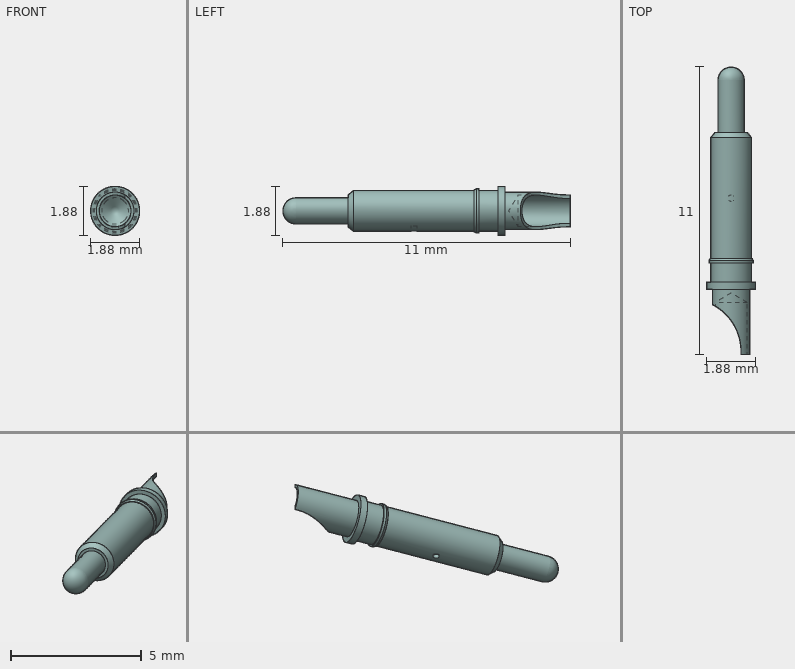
import cadquery as cq
import math

total_length = 11.0
tail_y = -total_length / 2
tip_y = total_length / 2

plunger_radius = 0.51
plunger_length = 2.5
barrel_radius = 0.78
shoulder_length = 0.2
shoulder_depth = 0.16

side_hole_radius = 0.12
side_hole_depth = 0.2
side_hole_y = tail_y + 5.98

ring_radius = 0.85
ring_start = tail_y + 3.5
ring_width = 0.19
ring_chamfer_length = 0.09
ring_chamfer_depth = 0.04

flange_diameter = 1.88
flange_radius = flange_diameter / 2
flange_width = 0.28

cup_length = 2.5
cup_diameter = 1.44
cup_radius = cup_diameter / 2
bore_radius = 0.6
bore_depth = 2.0
drill_point_angle = 118.0

scoop_radius = 2.0
scoop_wall_x = 0.37
scoop_center_y = tail_y + 0.13


def cylinder(radius, start_y, length):
    """Solid cylinder on the Y axis, growing from start_y toward +Y."""
    return cq.Workplane("XZ", origin=(0, start_y, 0)).circle(radius).extrude(-length)


def make_plunger(start_y):
    plunger = cylinder(plunger_radius, start_y, tip_y - plunger_radius - start_y)
    dome = cq.Workplane("XY").sphere(plunger_radius).translate((0, tip_y - plunger_radius, 0))
    return plunger.union(dome)


def make_ring():
    ring = cylinder(ring_radius, ring_start, ring_width)
    return ring.faces(">Y").chamfer(ring_chamfer_length, ring_chamfer_depth)


def make_bore():
    cone_length = bore_radius / math.tan(math.radians(drill_point_angle / 2))
    cone_start = tail_y + bore_depth
    return (
        cq.Workplane("XY")
        .moveTo(0, tail_y)
        .lineTo(bore_radius, tail_y)
        .lineTo(bore_radius, cone_start)
        .lineTo(0, cone_start + cone_length)
        .close()
        .revolve(360, (0, 0, 0), (0, 1, 0))
    )


def make_scoop():
    """Cylinder across the cup along Z, with a straight cut out to the tail end."""
    center_x = scoop_wall_x - scoop_radius
    height = 2 * flange_radius
    lead_out = scoop_center_y - tail_y
    disc = cq.Workplane("XY").circle(scoop_radius).extrude(height / 2, both=True)
    disc = disc.translate((center_x, scoop_center_y, 0))
    straight = cq.Workplane("XY").box(2 * scoop_radius, lead_out, height)
    straight = straight.translate((center_x, tail_y + lead_out / 2, 0))
    return disc.union(straight)


def make_side_hole():
    hole = cq.Workplane("XY", origin=(0, side_hole_y, -barrel_radius))
    return hole.circle(side_hole_radius).extrude(side_hole_depth, both=True)


flange_start = tail_y + cup_length
barrel_start = flange_start + flange_width
barrel_end = tip_y - plunger_length

barrel = cylinder(barrel_radius, barrel_start, barrel_end - barrel_start)
barrel = barrel.faces(">Y").chamfer(shoulder_length, shoulder_depth)

result = (
    cylinder(cup_radius, tail_y, cup_length)
    .union(cylinder(flange_radius, flange_start, flange_width))
    .union(barrel)
    .union(make_ring())
    .union(make_plunger(barrel_end))
    .cut(make_bore())
    .cut(make_scoop())
    .cut(make_side_hole())
)